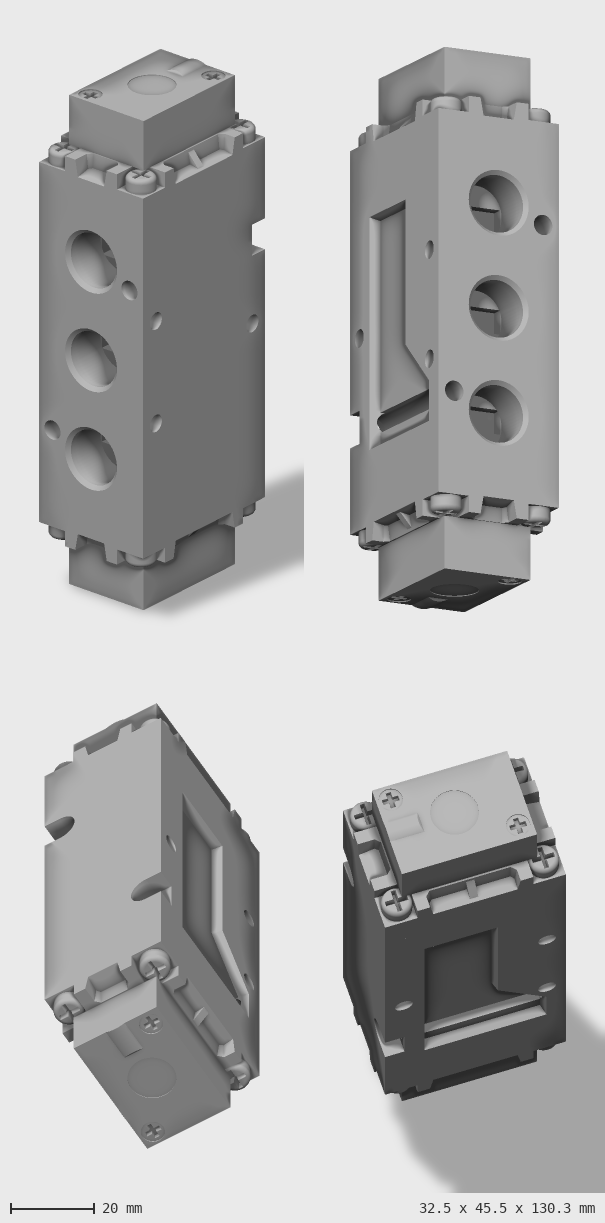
import cadquery as cq
import math

width_x = 32.5
depth_y = 45.5
half_x = width_x / 2
half_y = depth_y / 2

body_half_height = 37.75
cover_height = 13.75
cap_height = 13.05
cover_top = body_half_height + cover_height
cap_top = cover_top + cap_height
overall_half_height = 130.3 / 2

port_pitch = 26.0
port_bore_diameter = 14.2
port_mouth_diameter = 16.2
port_chamfer = (port_mouth_diameter - port_bore_diameter) / 2
port_depth = 12.0
passage_width = 13.3
passage_height = 6.0
passage_depth = 3.0
passage_shift = 1.25

long_hole_diameter = 5.0
hole_x = 12.0
hole_z = 22.0
nut_slot_width = 8.2
nut_slot_depth = 4.9
cross_hole_diameter = 4.5
cross_hole_y = 18.0
cross_hole_z = 13.5

recess_depth = 2.5
recess_inset = 0.85
recess_half_height = 28.8
recess_back_y = 12.85
recess_neck_y = -5.65
recess_front_y = -17.85
recess_neck_z = -7.0
recess_shoulder_z = -18.8

pocket_size = 8.2
pocket_depth = 4.0
screw_x = 12.0
screw_y = 18.45
head_diameter = 7.5
head_height = 3.7
head_round = 1.2
head_cross_length = 5.6
head_cross_width = 1.2
head_cross_depth = 1.8

notch_depth = 4.4
notch_draft = 10.5
notch_corner = 1.2
side_notch_length = 22.8
side_notch_reach = half_x - 12.05
end_notch_length = 9.8
end_notch_reach = half_y - 17.3
gusset_width = 2.1
gusset_foot_x = 15.4
gusset_top = cover_top - 0.6

cross_draft = 10.0

cap_x = 23.2
cap_y = 34.0
button_diameter = 11.7
button_recess = 0.2
cap_screw_x = 7.9
cap_screw_y = 13.45
cap_screw_diameter = 5.8
cap_screw_recess = 0.3
cap_cross_length = 4.2
cap_cross_width = 1.4
cap_cross_depth = 1.3
ridge_width = 5.2
ridge_height = overall_half_height - cap_top
ridge_end_y = 8.4


def box_between(x0, x1, y0, y1, z0, z1):
    """Axis-aligned box given by its limits."""
    return cq.Workplane("XY").box(x1 - x0, y1 - y0, z1 - z0, centered=False).translate((x0, y0, z0))


def turned_over(part):
    """The same part at the other end of the valve."""
    return part.rotate((0, 0, 0), (0, 1, 0), 180)


def cross_cutter(length, width, depth):
    """Screwdriver cross with drafted walls, its top at Z = 0."""
    arm = cq.Workplane("XY").rect(length, width).extrude(-depth, taper=cross_draft)
    return arm.union(arm.rotate((0, 0, 0), (0, 0, 1), 90))


def port(z, passage_z):
    """Chamfered bore entering from the -Y face, ending in a flat passage."""
    face = cq.Workplane("XZ", origin=(0, -half_y, z))
    bore = face.circle(port_bore_diameter / 2).extrude(-port_depth)
    mouth = cq.Workplane(
        cq.Solid.makeCone(
            port_mouth_diameter / 2,
            port_bore_diameter / 2,
            port_chamfer,
            pnt=cq.Vector(0, -half_y, z),
            dir=cq.Vector(0, 1, 0),
        )
    )
    passage = box_between(
        -passage_width / 2,
        passage_width / 2,
        -half_y + port_depth,
        -half_y + port_depth + passage_depth,
        passage_z - passage_height / 2,
        passage_z + passage_height / 2,
    )
    return bore.union(mouth).union(passage)


def mounting_hole():
    """Hole along Y near the lower -X edge, with a nut slot at +Y that opens to -X."""
    hole = (
        cq.Workplane("XZ", origin=(-hole_x, -half_y, -hole_z))
        .circle(long_hole_diameter / 2)
        .extrude(-depth_y)
    )
    slot_end = (
        cq.Workplane("XZ", origin=(-hole_x, half_y, -hole_z))
        .circle(nut_slot_width / 2)
        .extrude(nut_slot_depth)
    )
    slot_mouth = box_between(
        -half_x,
        -hole_x,
        half_y - nut_slot_depth,
        half_y,
        -hole_z - nut_slot_width / 2,
        -hole_z + nut_slot_width / 2,
    )
    return hole.union(slot_end).union(slot_mouth)


def side_recess():
    """Drafted recess in the -X face, with a round-bottomed groove along the mounting hole."""
    outline = [
        (recess_back_y, recess_half_height),
        (recess_neck_y, recess_half_height),
        (recess_neck_y, recess_neck_z),
        (recess_front_y, recess_shoulder_z),
        (recess_front_y, -recess_half_height),
        (recess_back_y, -recess_half_height),
    ]
    draft = math.degrees(math.atan2(recess_inset, recess_depth))
    recess = (
        cq.Workplane("YZ", origin=(-half_x, 0, 0))
        .polyline(outline)
        .close()
        .extrude(recess_depth, taper=draft)
    )
    groove = box_between(
        -half_x + recess_depth,
        -hole_x,
        recess_front_y + recess_inset,
        recess_back_y - recess_inset,
        -hole_z - long_hole_diameter / 2,
        -hole_z + long_hole_diameter / 2,
    )
    return recess.union(groove)


def valve_body():
    body = cq.Workplane("XY").box(width_x, depth_y, 2 * body_half_height)
    for side in (-1, 0, 1):
        body = body.cut(port(side * port_pitch, side * (port_pitch - passage_shift)))
    body = body.cut(mounting_hole()).cut(turned_over(mounting_hole()))
    cross_holes = (
        cq.Workplane("YZ", origin=(-half_x, 0, 0))
        .pushPoints([(cross_hole_y, 0), (-cross_hole_y, cross_hole_z), (-cross_hole_y, -cross_hole_z)])
        .circle(cross_hole_diameter / 2)
        .extrude(width_x)
    )
    return body.cut(cross_holes).cut(side_recess())


def notch(length, reach):
    """Cutter for a notch in the edge at X = 0, running in towards -X, top at Z = 0."""
    overrun = 2.0
    half = length / 2
    plan = [
        (overrun, -half),
        (overrun, half),
        (-reach + notch_corner, half),
        (-reach, half - notch_corner),
        (-reach, -half + notch_corner),
        (-reach + notch_corner, -half),
    ]
    walls = cq.Workplane("XY").polyline(plan).close().extrude(-2 * notch_depth, taper=notch_draft)
    floor_rise = reach * math.tan(math.radians(notch_draft))
    above_floor = (
        cq.Workplane("XZ", origin=(0, half, 0))
        .polyline([(0, 0), (0, -notch_depth), (-reach, floor_rise - notch_depth), (-reach, 0)])
        .close()
        .extrude(length)
    )
    return walls.intersect(above_floor)


def gusset():
    """Triangular rib in the +X notch, from the notch floor up its back wall."""
    back_x = half_x - side_notch_reach
    foot_z = cover_top - notch_depth
    return (
        cq.Workplane("XZ", origin=(0, gusset_width / 2, 0))
        .polyline([(back_x, gusset_top), (gusset_foot_x, foot_z), (back_x, foot_z)])
        .close()
        .extrude(gusset_width)
    )


def screw_head():
    """Rounded, cross-slotted head standing on the pocket floor at Z = 0."""
    head = (
        cq.Workplane("XY")
        .circle(head_diameter / 2)
        .extrude(head_height)
        .faces(">Z")
        .edges()
        .fillet(head_round)
    )
    cross = cross_cutter(head_cross_length, head_cross_width, head_cross_depth)
    return head.cut(cross.translate((0, 0, head_height)))


def end_cover():
    cover = box_between(-half_x, half_x, -half_y, half_y, body_half_height, cover_top)

    side_notch = notch(side_notch_length, side_notch_reach).translate((half_x, 0, cover_top))
    side_notch = side_notch.cut(gusset())
    end_notch = notch(end_notch_length, end_notch_reach).translate((half_y, 0, cover_top))
    for turn in (0, 180):
        cover = cover.cut(side_notch.rotate((0, 0, 0), (0, 0, 1), turn))
        cover = cover.cut(end_notch.rotate((0, 0, 0), (0, 0, 1), turn + 90))

    pocket_floor = cover_top - pocket_depth
    corners = [(sx, sy) for sx in (-1, 1) for sy in (-1, 1)]
    pockets = (
        cq.Workplane("XY", origin=(0, 0, pocket_floor))
        .pushPoints([(sx * half_x, sy * half_y) for sx, sy in corners])
        .rect(2 * pocket_size, 2 * pocket_size)
        .extrude(pocket_depth)
    )
    cover = cover.cut(pockets)
    for sx, sy in corners:
        cover = cover.union(screw_head().translate((sx * screw_x, sy * screw_y, pocket_floor)))
    return cover


def cap_ridge():
    """Low arched ridge from the +Y edge of the cap, with a sloping inner end."""
    ridge = (
        cq.Workplane("XZ", origin=(0, cap_y / 2, cap_top))
        .moveTo(-ridge_width / 2, 0)
        .threePointArc((0, ridge_height), (ridge_width / 2, 0))
        .close()
        .extrude(cap_y / 2 - ridge_end_y)
    )
    end_slope = (
        cq.Workplane("YZ", origin=(-ridge_width / 2, ridge_end_y, cap_top))
        .polyline([(0, 0), (ridge_height, ridge_height), (0, ridge_height)])
        .close()
        .extrude(ridge_width)
    )
    return ridge.cut(end_slope)


def cap_screw_recess_cutter():
    """Shallow round recess with a deeper cross, its top at Z = 0."""
    recess = cq.Workplane("XY").circle(cap_screw_diameter / 2).extrude(-cap_screw_recess)
    return recess.union(cross_cutter(cap_cross_length, cap_cross_width, cap_cross_depth))


def end_cap():
    cap = box_between(-cap_x / 2, cap_x / 2, -cap_y / 2, cap_y / 2, cover_top, cap_top)
    button = (
        cq.Workplane("XY", origin=(0, 0, cap_top))
        .circle(button_diameter / 2)
        .extrude(-button_recess)
    )
    cap = cap.cut(button)
    for side in (-1, 1):
        place = (side * cap_screw_x, side * cap_screw_y, cap_top)
        cap = cap.cut(cap_screw_recess_cutter().translate(place))
    return cap.union(cap_ridge())


body = valve_body()
covers = [end_cover(), turned_over(end_cover())]
caps = [end_cap(), turned_over(end_cap())]

solids = [part.solids().val() for part in [body, *covers, *caps]]
result = cq.Compound.makeCompound(solids)